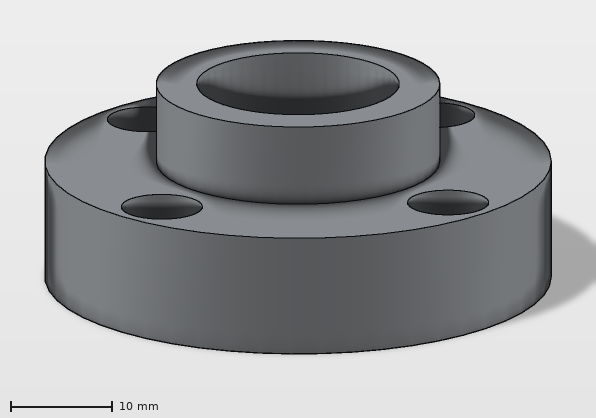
import cadquery as cq

flange_diameter = 50
flange_thickness = 12
hub_diameter = 28
hub_height = 8
bore_diameter = 20
bolt_hole_diameter = 8
bolt_circle_diameter = 40
bolt_hole_count = 4

flange = cq.Workplane("XY").circle(flange_diameter / 2).extrude(flange_thickness)

flange_with_hub = flange.faces(">Z").workplane().circle(hub_diameter / 2).extrude(hub_height)

bored_flange = flange_with_hub.faces(">Z").workplane().hole(bore_diameter)

bolt_holes = (
    cq.Workplane("XY")
    .polarArray(bolt_circle_diameter / 2, 0, 360, bolt_hole_count)
    .circle(bolt_hole_diameter / 2)
    .extrude(flange_thickness)
)

result = bored_flange.cut(bolt_holes)